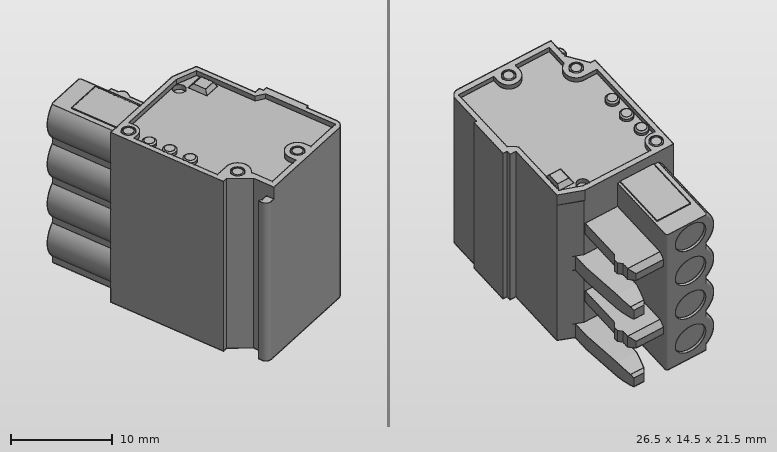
import cadquery as cq
import math


body_height = 20.0
lid_top = 21.5
pocket_depth = 0.6
pocket_floor = lid_top - pocket_depth
overlap = 0.3

front_x = 8.4
right_x = 26.5
slant_top_x = 9.45
slant_top_y = 13.3
lid_slant_foot_y = 10.65
body_slant_foot_y = 10.8
ramp_start = (21.9, 0.55)
ramp_end_x = 24.05
hook_root_y = 2.1
back_y = 14.2
rail_start_x = 17.0
rail_end_x = 22.0
rail_y = 14.5
rail_step_x = 16.5
rail_step_y = 14.0
back_corner_radius = 0.9

hook_inner_x = 25.6
hook_tip_x = 25.4
hook_tip_top_y = 1.4
hook_bottom_y = 1.0
hook_radius = 0.65

pocket_left_x = 9.0
pocket_right_x = 25.85
pocket_low_y = 0.55
pocket_right_low_y = 2.75
pocket_back_y = 13.65
pocket_left_back_y = 12.75
pocket_slant_top_x = 9.85
pocket_slant_foot_y = 10.5
pocket_step_start_x = 16.85
pocket_step_end_x = 17.5
corner_pin = (9.7, 1.2)
corner_island_radius = 1.1
ramp_pin = (22.15, 2.1)
ramp_island_radius = 1.35
side_pin = (25.15, 8.12)
side_island_radius = 1.3

pin_radius = 0.72
pin_chamfer = 0.18
floor_pin_height = 0.5
floor_pins = [(12.15, 1.25), (14.5, 1.4), (16.95, 1.4)]

floor_hole = (9.65, 10.05)
floor_hole_radius = 0.67
floor_hole_depth = 0.6
stud_base_x = (10.25, 12.5)
stud_base_y = (10.7, 12.5)
stud_top_x = (10.7, 12.15)
stud_top_y = (11.0, 12.35)
stud_height = 0.5

pole_pitch = 5.0
pole_count = 4
first_pole_z = 2.9
pole_y = 3.85
pole_radius = 2.9
entry_radius = 1.83
entry_depth = 0.3
web_y = 1.85
block_back_y = 6.75
block_edge_radius = 0.25

plate_x = 2.05
plate_low_y = 2.4
plate_high_y = 6.45
plate_thickness = 0.12

coding_pitch = 2 * pole_pitch
coding_count = 2
key_first_z = 5.0
key_height = 1.6
key_tip_x = 0.5
key_back_y = 10.65
key_chamfer = 0.6
key_bump_x = (1.9, 2.3, 2.75, 3.35)
key_bump_height = 0.4
latch_height = 2.05
latch_root_x = 9.2


def housing(slant_foot_y, bottom, top):
    """Housing prism with the slanted corner at the wire-entry side."""
    back_corner = cq.selectors.NearestToPointSelector((right_x, back_y, (bottom + top) / 2))
    return (
        cq.Workplane("XY", origin=(0, 0, bottom))
        .moveTo(front_x, 0)
        .lineTo(ramp_start[0], 0)
        .lineTo(*ramp_start)
        .lineTo(ramp_end_x, hook_root_y)
        .lineTo(right_x, hook_root_y)
        .lineTo(right_x, back_y)
        .lineTo(rail_end_x, back_y)
        .lineTo(rail_end_x, rail_y)
        .lineTo(rail_start_x, rail_y)
        .lineTo(rail_start_x, rail_step_y)
        .lineTo(rail_step_x, rail_step_y)
        .lineTo(rail_step_x, slant_top_y)
        .lineTo(slant_top_x, slant_top_y)
        .lineTo(front_x, slant_foot_y)
        .close()
        .extrude(top - bottom)
        .edges(back_corner)
        .fillet(back_corner_radius)
    )


def make_hook():
    """Full-height hook below the lid, curling under the right-hand corner."""
    return (
        cq.Workplane("XY")
        .moveTo(right_x, hook_root_y + overlap)
        .lineTo(right_x, hook_bottom_y + hook_radius)
        .radiusArc((right_x - hook_radius, hook_bottom_y), hook_radius)
        .lineTo(hook_tip_x, hook_bottom_y)
        .lineTo(hook_inner_x, hook_tip_top_y)
        .lineTo(hook_inner_x, hook_root_y + overlap)
        .close()
        .extrude(body_height)
    )


def make_pocket():
    """Shallow recess of the lid, running around the three pin islands."""
    corner_x, corner_y = corner_pin
    ramp_x, ramp_y = ramp_pin
    side_x, side_y = side_pin
    ramp_rise = pocket_right_low_y - ramp_y
    ramp_arc_end_x = ramp_x + math.sqrt(ramp_island_radius**2 - ramp_rise**2)
    return (
        cq.Workplane("XY", origin=(0, 0, pocket_floor))
        .moveTo(pocket_left_x, corner_y + corner_island_radius)
        .lineTo(corner_x, corner_y + corner_island_radius)
        .radiusArc((corner_x + corner_island_radius, corner_y), corner_island_radius)
        .lineTo(corner_x + corner_island_radius, pocket_low_y)
        .lineTo(ramp_x - ramp_island_radius, pocket_low_y)
        .lineTo(ramp_x - ramp_island_radius, ramp_y)
        .threePointArc((ramp_x, ramp_y + ramp_island_radius), (ramp_arc_end_x, pocket_right_low_y))
        .lineTo(pocket_right_x, pocket_right_low_y)
        .lineTo(pocket_right_x, side_y - side_island_radius)
        .lineTo(side_x, side_y - side_island_radius)
        .threePointArc((side_x - side_island_radius, side_y), (side_x, side_y + side_island_radius))
        .lineTo(pocket_right_x, side_y + side_island_radius)
        .lineTo(pocket_right_x, pocket_back_y)
        .lineTo(pocket_step_end_x, pocket_back_y)
        .lineTo(pocket_step_start_x, pocket_left_back_y)
        .lineTo(pocket_slant_top_x, pocket_left_back_y)
        .lineTo(pocket_left_x, pocket_slant_foot_y)
        .close()
        .extrude(pocket_depth)
    )


def make_pin(center, top_z, height):
    """Round pin with a chamfered top edge."""
    return (
        cq.Workplane("XY", origin=(center[0], center[1], top_z - height))
        .circle(pin_radius)
        .extrude(height)
        .faces(">Z")
        .chamfer(pin_chamfer)
    )


def add_pins(part):
    """Pins flush with the islands inside a V groove, and pins standing on the pocket floor."""
    for center in (corner_pin, ramp_pin, side_pin):
        seat = cq.Workplane("XY", origin=(*center, lid_top - pin_chamfer)).circle(pin_radius)
        part = part.cut(seat.extrude(pin_chamfer))
        part = part.union(make_pin(center, lid_top, pocket_depth))
    for center in floor_pins:
        part = part.union(make_pin(center, pocket_floor + floor_pin_height, floor_pin_height + overlap))
    return part


def make_stud():
    """Rectangular stud with sloping sides on the pocket floor."""
    base_size = (stud_base_x[1] - stud_base_x[0], stud_base_y[1] - stud_base_y[0])
    top_size = (stud_top_x[1] - stud_top_x[0], stud_top_y[1] - stud_top_y[0])
    base_center = (sum(stud_base_x) / 2, sum(stud_base_y) / 2)
    top_center = (sum(stud_top_x) / 2, sum(stud_top_y) / 2)
    shift = (top_center[0] - base_center[0], top_center[1] - base_center[1])
    return (
        cq.Workplane("XY", origin=(*base_center, pocket_floor))
        .rect(*base_size)
        .workplane(offset=stud_height)
        .center(*shift)
        .rect(*top_size)
        .loft(ruled=True)
    )


def make_floor_hole():
    return (
        cq.Workplane("XY", origin=(*floor_hole, pocket_floor - floor_hole_depth))
        .circle(floor_hole_radius)
        .extrude(floor_hole_depth)
    )


def make_wire_block():
    """Block with one rounded rib and one shallow round wire entry per pole."""
    pole_centers = [(pole_y, first_pole_z + i * pole_pitch) for i in range(pole_count)]
    length = front_x + overlap
    core = cq.Workplane("XY").box(length, block_back_y - web_y, body_height, centered=False)
    block = core.translate((0, web_y, 0)).edges("<X and |Z").fillet(block_edge_radius)
    for y, z in pole_centers:
        rib = cq.Workplane("YZ", origin=(0, y, z)).circle(pole_radius).extrude(length)
        block = block.union(rib.faces("<X").edges().fillet(block_edge_radius))
    envelope = cq.Workplane("XY").box(length, block_back_y, body_height, centered=False)
    block = block.intersect(envelope)
    entries = (
        cq.Workplane("YZ")
        .pushPoints(pole_centers)
        .circle(entry_radius)
        .extrude(entry_depth)
    )
    return block.cut(entries)


def make_label_plate():
    return cq.Workplane("XY").box(
        front_x + overlap - plate_x,
        plate_high_y - plate_low_y,
        plate_thickness + overlap,
        centered=False,
    ).translate((plate_x, plate_low_y, body_height - overlap))


def make_key():
    """Coding key with a small bump on its back and chamfers at its tip."""
    bump_start, bump_rise, bump_fall, bump_end = key_bump_x
    plan = (
        cq.Workplane("XY")
        .moveTo(key_tip_x, block_back_y - overlap)
        .lineTo(key_tip_x, key_back_y - key_chamfer)
        .lineTo(key_tip_x + key_chamfer, key_back_y)
        .lineTo(bump_start, key_back_y)
        .lineTo(bump_rise, key_back_y + key_bump_height)
        .lineTo(bump_fall, key_back_y + key_bump_height)
        .lineTo(bump_end, key_back_y)
        .lineTo(front_x + overlap, key_back_y)
        .lineTo(front_x + overlap, block_back_y - overlap)
        .close()
        .extrude(key_height)
    )
    side = (
        cq.Workplane("XZ")
        .moveTo(key_tip_x, 0)
        .lineTo(key_tip_x, key_height - key_chamfer)
        .lineTo(key_tip_x + key_chamfer, key_height)
        .lineTo(front_x + overlap, key_height)
        .lineTo(front_x + overlap, 0)
        .close()
        .extrude(-rail_y)
    )
    return plan.intersect(side)


def make_latch():
    """Latch finger tapered in steps towards its tip, flat underneath."""
    plan = (
        cq.Workplane("XY")
        .polyline(
            [
                (0.1, 9.35),
                (0.45, 9.15),
                (1.35, 8.95),
                (2.15, 8.8),
                (latch_root_x, 8.8),
                (latch_root_x, 11.95),
                (8.9, 11.95),
                (8.7, 11.6),
                (6.85, 11.6),
                (2.15, 11.15),
                (1.35, 11.0),
                (0.45, 10.75),
                (0.1, 10.6),
            ]
        )
        .close()
        .extrude(latch_height)
    )
    side = (
        cq.Workplane("XZ")
        .polyline(
            [
                (0.1, 0),
                (0.1, 1.3),
                (0.45, 1.6),
                (1.35, 1.85),
                (2.15, latch_height),
                (latch_root_x, latch_height),
                (latch_root_x, 0),
            ]
        )
        .close()
        .extrude(-rail_y)
    )
    return plan.intersect(side)


result = housing(body_slant_foot_y, 0, body_height)
result = result.union(housing(lid_slant_foot_y, body_height, lid_top)).union(make_hook())
result = result.cut(make_pocket()).cut(make_floor_hole())
result = add_pins(result).union(make_stud())
result = result.union(make_wire_block()).union(make_label_plate())
for i in range(coding_count):
    result = result.union(make_key().translate((0, 0, key_first_z + i * coding_pitch)))
    result = result.union(make_latch().translate((0, 0, i * coding_pitch)))